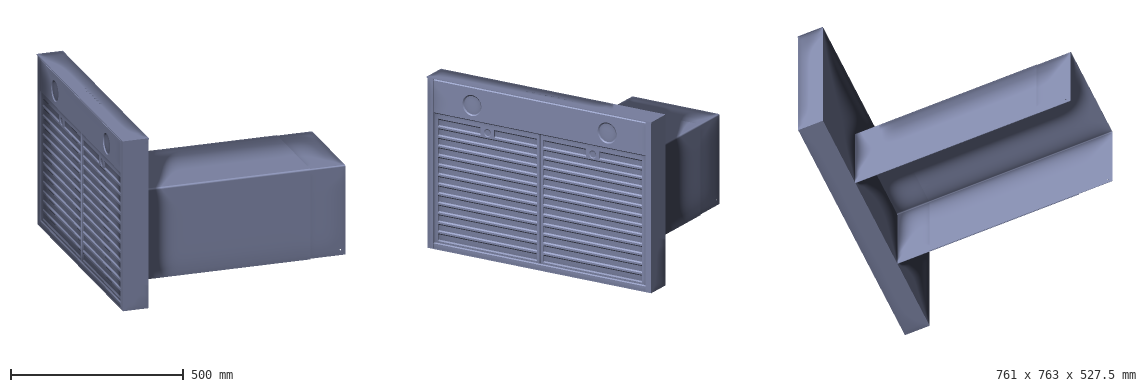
import cadquery as cq

HOOD_WIDTH = 761.0
HOOD_DEPTH = 80.0
HOOD_HEIGHT = 526.0
LID_THICKNESS = 3.0
LID_OVERHANG = 1.5
SHEET = 2.0
CASE_WIDTH = HOOD_WIDTH - 2 * LID_OVERHANG
CASE_FRONT = LID_OVERHANG
CASE_TOP = HOOD_HEIGHT - LID_THICKNESS
CAVITY_TOP = CASE_TOP - SHEET

FLANGE_WIDTH = 20.0
PANEL_RECESS = 1.5
PANEL_THICKNESS = 11.5
PANEL_FACE = CASE_FRONT + PANEL_RECESS
PANEL_BACK = PANEL_FACE + PANEL_THICKNESS
PANEL_TOP_BEVEL = 5.0

OPENING_WIDTH = 712.0
OPENING_BOTTOM = 20.0
OPENING_TOP = 416.5
OPENING_BEVEL = 3.0

LAMP_SPACING = 457.5
LAMP_HEIGHT = 464.5
LAMP_RADIUS = 32.0
LAMP_GLASS_RADIUS = 28.0
LAMP_DEPTH = 3.0

BUTTON_COUNT = 7
BUTTON_PITCH = 21.0
BUTTON_RADIUS = 4.0
BUTTON_DEPTH = 1.0
BUTTON_Y = 40.5

FILTER_COUNT = 2
FILTER_RECESS = 3.0
FILTER_FACE = PANEL_FACE + FILTER_RECESS
FILTER_WIDTH = OPENING_WIDTH / FILTER_COUNT
FILTER_JOINT_BEVEL = 4.0
SLOT_COUNT = 13
SLOT_PITCH = 29.35
SLOT_HEIGHT = 24.0
SLOT_LENGTH = 334.0
SLOT_BEVEL = 4.0
SLOT_DEPTH = 3.0
TOP_SLOT_CENTRE = 390.0
KNOB_HEIGHT = 388.0
KNOB_LAND_WIDTH = 46.0
KNOB_RADIUS = 12.0
KNOB_INNER_RADIUS = 9.0
KNOB_DEPTH = 1.5

DUCT_SHEET = 1.15
OUTER_DUCT_WIDTH = 300.0
OUTER_DUCT_TOP = 277.5
OUTER_DUCT_BOTTOM = -1.5
OUTER_DUCT_END = 655.0
OUTER_BEND_RADIUS = 5.0
INNER_DUCT_WIDTH = OUTER_DUCT_WIDTH - 2 * DUCT_SHEET
INNER_DUCT_TOP = OUTER_DUCT_TOP - DUCT_SHEET
INNER_DUCT_BOTTOM = 0.0
INNER_DUCT_START = 182.0
INNER_DUCT_END = 763.0
INNER_BEND_RADIUS = OUTER_BEND_RADIUS - DUCT_SHEET
SCREW_HOLE_RADIUS = 2.0
SCREW_HOLE_END_DISTANCE = 15.0
SCREW_HOLE_HEIGHT = 17.0


def box(width, y_start, y_end, z_bottom, z_top, x_centre=0.0):
    """Block centred on x_centre, between the given Y and Z limits."""
    return (
        cq.Workplane("XY")
        .box(width, y_end - y_start, z_top - z_bottom, centered=(True, False, False))
        .translate((x_centre, y_start, z_bottom))
    )


def round_dish(radius, floor_radius, depth, x, y, z):
    """Conical dish cut into a face that looks toward -Y."""
    profile = [(0, 0), (radius, 0), (floor_radius, depth), (0, depth)]
    dish = cq.Workplane("XY").polyline(profile).close().revolve(360, (0, 0, 0), (0, 1, 0))
    return dish.translate((x, y, z))


def make_hood():
    case = box(CASE_WIDTH, CASE_FRONT, HOOD_DEPTH, 0, CASE_TOP)
    lid = box(HOOD_WIDTH, 0, HOOD_DEPTH, CASE_TOP, HOOD_HEIGHT)
    hood = case.union(lid)

    hood = hood.cut(box(CASE_WIDTH - 2 * SHEET, PANEL_BACK, HOOD_DEPTH - SHEET, SHEET, CAVITY_TOP))
    flange_hollow_width = FLANGE_WIDTH - 2 * SHEET
    flange_front = CASE_FRONT + SHEET
    for side in (-1, 1):
        flange_centre = side * (CASE_WIDTH - FLANGE_WIDTH) / 2
        hood = hood.cut(
            box(flange_hollow_width, flange_front, PANEL_BACK, SHEET, CAVITY_TOP, flange_centre)
        )

    panel_width = CASE_WIDTH - 2 * FLANGE_WIDTH
    hood = hood.cut(box(panel_width, CASE_FRONT, PANEL_FACE, SHEET, CASE_TOP))
    bevel_profile = [
        (PANEL_FACE, CASE_TOP),
        (PANEL_FACE + PANEL_TOP_BEVEL, CASE_TOP),
        (PANEL_FACE, CASE_TOP - PANEL_TOP_BEVEL),
    ]
    bevel = cq.Workplane("YZ").polyline(bevel_profile).close().extrude(panel_width / 2, both=True)
    hood = hood.cut(bevel)

    opening_height = OPENING_TOP - OPENING_BOTTOM
    opening_middle = (OPENING_TOP + OPENING_BOTTOM) / 2
    hood = hood.cut(box(OPENING_WIDTH, PANEL_FACE, PANEL_BACK, OPENING_BOTTOM, OPENING_TOP))
    rim = (
        cq.Workplane("XZ", origin=(0, PANEL_FACE, opening_middle))
        .rect(OPENING_WIDTH + 2 * OPENING_BEVEL, opening_height + 2 * OPENING_BEVEL)
        .workplane(offset=-OPENING_BEVEL)
        .rect(OPENING_WIDTH, opening_height)
        .loft(ruled=True)
    )
    hood = hood.cut(rim)

    for side in (-1, 1):
        lamp_x = side * LAMP_SPACING / 2
        hood = hood.cut(
            round_dish(LAMP_RADIUS, LAMP_GLASS_RADIUS, LAMP_DEPTH, lamp_x, PANEL_FACE, LAMP_HEIGHT)
        )

    buttons = (
        cq.Workplane("XY", origin=(0, BUTTON_Y, HOOD_HEIGHT - BUTTON_DEPTH))
        .rarray(BUTTON_PITCH, 8, BUTTON_COUNT, 1)
        .circle(BUTTON_RADIUS)
        .extrude(BUTTON_DEPTH)
    )
    return hood.cut(buttons)


def make_slot(length, x, z):
    """Channel along X whose upper and lower walls slope in toward its floor."""
    mouth = SLOT_HEIGHT / 2
    floor = mouth - SLOT_BEVEL
    floor_y = FILTER_FACE + SLOT_DEPTH
    profile = [(FILTER_FACE, -mouth), (floor_y, -floor), (floor_y, floor), (FILTER_FACE, mouth)]
    slot = cq.Workplane("YZ").polyline(profile).close().extrude(length / 2, both=True)
    return slot.translate((x, 0, z))


def make_filter(side):
    centre = side * FILTER_WIDTH / 2
    baffle = box(FILTER_WIDTH, FILTER_FACE, PANEL_BACK, OPENING_BOTTOM, OPENING_TOP, centre)
    joint_edge = "<X" if side > 0 else ">X"
    baffle = baffle.faces(joint_edge).edges("<Y").chamfer(FILTER_JOINT_BEVEL)

    half_length = (SLOT_LENGTH - KNOB_LAND_WIDTH) / 2
    half_offset = (SLOT_LENGTH + KNOB_LAND_WIDTH) / 4
    for half in (-1, 1):
        baffle = baffle.cut(make_slot(half_length, centre + half * half_offset, TOP_SLOT_CENTRE))
    baffle = baffle.cut(
        round_dish(KNOB_RADIUS, KNOB_INNER_RADIUS, KNOB_DEPTH, centre, FILTER_FACE, KNOB_HEIGHT)
    )

    for row in range(1, SLOT_COUNT):
        baffle = baffle.cut(make_slot(SLOT_LENGTH, centre, TOP_SLOT_CENTRE - row * SLOT_PITCH))
    return baffle


def make_duct(width, y_start, y_end, bottom, top, bend_radius):
    """Sheet channel, open below, with rounded bends along its two upper edges."""
    duct = box(width, y_start, y_end, bottom, top).edges("|Y and >Z").fillet(bend_radius)
    hollow = box(width - 2 * DUCT_SHEET, y_start, y_end, bottom, top - DUCT_SHEET)
    inner_radius = bend_radius - DUCT_SHEET
    return duct.cut(hollow.edges("|Y and >Z").fillet(inner_radius))


def make_inner_duct():
    """Inner channel, with a screw hole through both side walls near its outlet."""
    duct = make_duct(
        INNER_DUCT_WIDTH,
        INNER_DUCT_START,
        INNER_DUCT_END,
        INNER_DUCT_BOTTOM,
        INNER_DUCT_TOP,
        INNER_BEND_RADIUS,
    )
    screw_holes = (
        cq.Workplane("YZ", origin=(0, INNER_DUCT_END - SCREW_HOLE_END_DISTANCE, SCREW_HOLE_HEIGHT))
        .circle(SCREW_HOLE_RADIUS)
        .extrude(INNER_DUCT_WIDTH / 2, both=True)
    )
    return duct.cut(screw_holes)


hood = make_hood()
filters = [make_filter(side) for side in (-1, 1)]
outer_duct = make_duct(
    OUTER_DUCT_WIDTH, HOOD_DEPTH, OUTER_DUCT_END, OUTER_DUCT_BOTTOM, OUTER_DUCT_TOP, OUTER_BEND_RADIUS
)
inner_duct = make_inner_duct()

result = cq.Compound.makeCompound(
    [hood.val(), *[baffle.val() for baffle in filters], outer_duct.val(), inner_duct.val()]
)